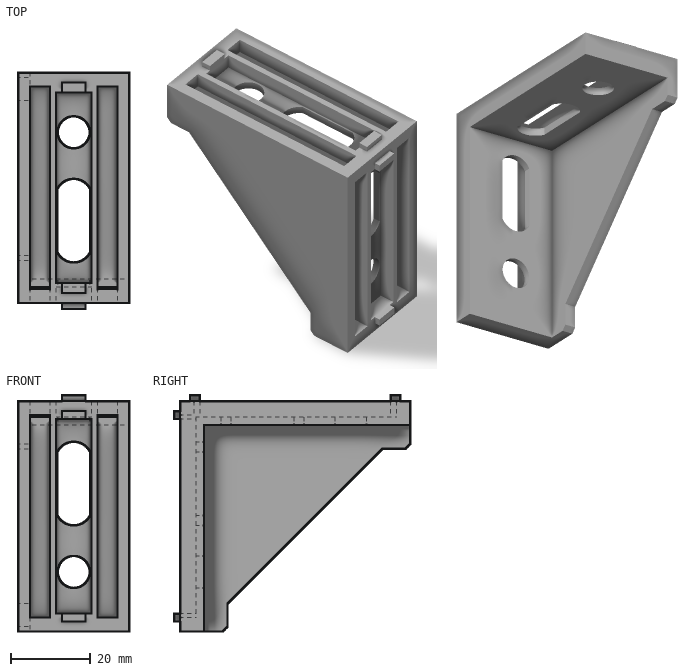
import cadquery as cq
import math


width = 28.0
leg_length = 58.0
leg_thickness = 6.0

gusset_thickness = 3.0
foot_depth = 12.0
foot_length = 7.0
foot_chamfer = 1.25

recess_depth = 4.0
groove_width = 9.0
rib_thickness = 1.5
pocket_width = 5.0
pocket_end_margin = 3.5

tab_width = 6.0
tab_height = 1.5
tab_end_margin = 2.5
top_tab_length = 2.5
front_tab_length = 2.0

hole_diameter = 8.0
hole_distance = 43.0
slot_width = 8.2
slot_length = 21.0
slot_distance = 20.75
slot_end_radius = 4.6

pocket_offset = groove_width / 2 + rib_thickness + pocket_width / 2


def leg_block(size_x, start, end, low, high, x=0.0):
    """Box on the top leg: start and end measured from the corner, low and high along Z."""
    return (
        cq.Workplane("XY", origin=(x, (start + end) / 2, low))
        .rect(size_x, end - start)
        .extrude(high - low)
    )


def make_slot_cutter():
    """Straight-sided slot closed at both ends by shallow arcs."""
    half_width = slot_width / 2
    arc_rise = slot_end_radius - math.sqrt(slot_end_radius**2 - half_width**2)
    half_length = slot_length / 2
    half_side = half_length - arc_rise
    return (
        cq.Workplane("XY", origin=(0, slot_distance, -leg_thickness))
        .moveTo(-half_width, -half_side)
        .lineTo(-half_width, half_side)
        .threePointArc((0, half_length), (half_width, half_side))
        .lineTo(half_width, -half_side)
        .threePointArc((0, -half_length), (-half_width, -half_side))
        .close()
        .extrude(leg_thickness)
    )


def make_leg_cutter(tab_length):
    """Groove, side pockets, bolt hole and slot of the top leg."""
    groove_start = tab_end_margin + tab_length
    cutter = leg_block(groove_width, groove_start, leg_length - groove_start, -recess_depth, 0)
    for side in (-1, 1):
        pocket = leg_block(
            pocket_width,
            pocket_end_margin,
            leg_length - pocket_end_margin,
            -recess_depth,
            0,
            side * pocket_offset,
        )
        cutter = cutter.union(pocket)
    hole = (
        cq.Workplane("XY", origin=(0, hole_distance, -leg_thickness))
        .circle(hole_diameter / 2)
        .extrude(leg_thickness)
    )
    return cutter.union(hole).union(make_slot_cutter())


def make_tabs(tab_length):
    """The two locating tabs standing on the top leg."""
    far_tab_end = leg_length - tab_end_margin
    near_tab = leg_block(tab_width, tab_end_margin, tab_end_margin + tab_length, 0, tab_height)
    far_tab = leg_block(tab_width, far_tab_end - tab_length, far_tab_end, 0, tab_height)
    return near_tab.union(far_tab)


def to_front(shape):
    """Reflect a top-leg feature in the plane Y = -Z, placing it on the front leg."""
    return shape.mirror("XY").rotate((0, 0, 0), (1, 0, 0), -90)


def make_gusset():
    """Side plate with a sloping edge between a chamfered foot at the end of each leg."""
    outline = [
        (0, 0),
        (leg_length, 0),
        (leg_length, -foot_depth + foot_chamfer),
        (leg_length - foot_chamfer, -foot_depth),
        (leg_length - foot_length, -foot_depth),
        (foot_depth, foot_length - leg_length),
        (foot_depth, foot_chamfer - leg_length),
        (foot_depth - foot_chamfer, -leg_length),
        (0, -leg_length),
    ]
    return (
        cq.Workplane("YZ", origin=(-width / 2, 0, 0))
        .polyline(outline)
        .close()
        .extrude(gusset_thickness)
    )


top_leg = leg_block(width, 0, leg_length, -leg_thickness, 0)
body = top_leg.union(to_front(top_leg)).union(make_gusset())

body = body.cut(make_leg_cutter(top_tab_length))
body = body.cut(to_front(make_leg_cutter(front_tab_length)))

result = body.union(make_tabs(top_tab_length)).union(to_front(make_tabs(front_tab_length)))